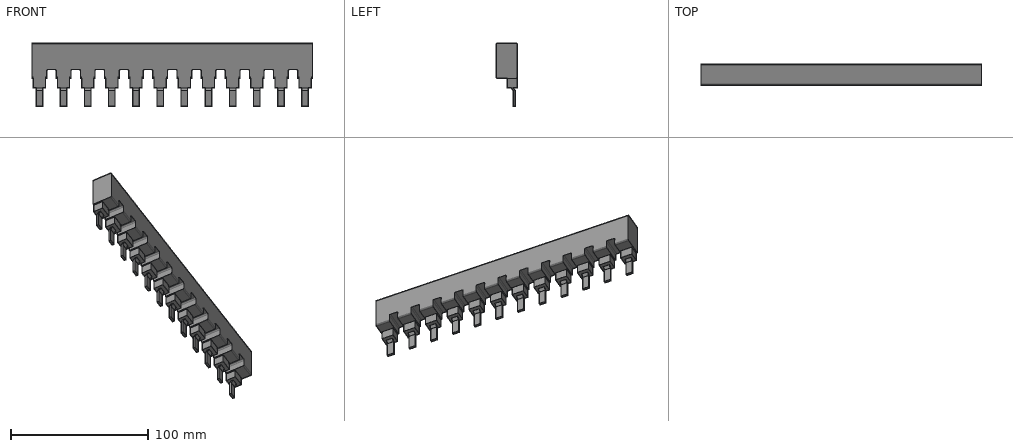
import cadquery as cq

length = 204.5
depth = 15.5
height = 46.0

top_z = height / 2
bottom_z = -height / 2
front_y = -depth / 2

housing_height = 25.5
top_edge_radius = 1.0
bottom_edge_radius = 0.8
housing_bottom_z = top_z - housing_height

tooth_count = 12
pitch = 17.5
notch_width = 6.8
notch_height = 6.3
notch_corner_radius = 0.8

collar_width = 9.0
collar_depth = 7.5
collar_height = 7.0
collar_bottom_z = housing_bottom_z - collar_height

pin_width = 5.0
pin_thickness = 1.6
pin_setback = 1.5
bend_height = 2.0
bend_offset = 1.6


def row_positions(count):
    """X positions of a row of features spaced by the pitch and centred on the part."""
    return [(i - (count - 1) / 2) * pitch for i in range(count)]


def make_housing():
    housing = (
        cq.Workplane("XY", origin=(0, 0, housing_bottom_z))
        .box(length, depth, housing_height, centered=(True, True, False))
    )
    housing = housing.edges("|X and >Z").fillet(top_edge_radius)
    return housing.edges("|X and <Z").fillet(bottom_edge_radius)


def make_notch(x):
    notch = (
        cq.Workplane("XY", origin=(x, 0, housing_bottom_z))
        .box(notch_width, depth, notch_height, centered=(True, True, False))
    )
    return notch.edges("|Y and >Z").fillet(notch_corner_radius)


def make_collar(x):
    full_height = collar_height + bottom_edge_radius
    return (
        cq.Workplane("XY", origin=(x, front_y, collar_bottom_z))
        .box(collar_width, collar_depth, full_height, centered=(True, False, False))
    )


def make_pin(x):
    pin_front_y = front_y + pin_setback
    pin_back_y = pin_front_y + pin_thickness
    bend_z = collar_bottom_z - bend_height
    side_outline = [
        (pin_front_y, bottom_z),
        (pin_back_y, bottom_z),
        (pin_back_y, bend_z),
        (pin_back_y + bend_offset, collar_bottom_z),
        (pin_front_y + bend_offset, collar_bottom_z),
        (pin_front_y, bend_z),
    ]
    return (
        cq.Workplane("YZ", origin=(x, 0, 0))
        .polyline(side_outline)
        .close()
        .extrude(pin_width / 2, both=True)
    )


result = make_housing()
for notch_x in row_positions(tooth_count - 1):
    result = result.cut(make_notch(notch_x))
for tooth_x in row_positions(tooth_count):
    result = result.union(make_collar(tooth_x)).union(make_pin(tooth_x))